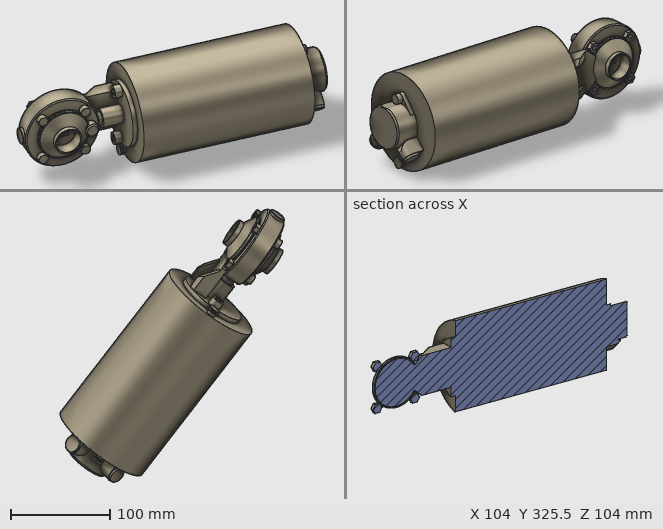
import cadquery as cq
import math


FIT = 0.5

BODY_RADIUS = 52.0
BODY_FRONT = 72.0
BODY_REAR = 257.6

BOSS_RADIUS = 34.8
BOSS_HEIGHT = 5.0
BOSS_FRONT = BODY_FRONT - BOSS_HEIGHT

BOSS_SCREW_RADIUS = 6.5
BOSS_SCREW_HEIGHT = 8.0
BOSS_SCREW_OFFSET = 28.3
BOSS_SOCKET_FLATS = 6.0
BOSS_SOCKET_DEPTH = 4.0

FLANGE_RADIUS = 40.0
FLANGE_HALF_WIDTH = 10.5
FLANGE_CHAMFER = 1.3
PLUG_SEAT = 38.0

COLLAR_RADIUS = 27.5
CONE_BASE_RADIUS = 26.2
CONE_START = 14.8
CONE_END = 22.1
COLLAR_GROOVE_START = 11.4
COLLAR_GROOVE_END = 12.0
PIPE_RADIUS = 14.5
BORE_RADIUS = 13.0
PIPE_END = 27.0

BORE_FLOOR_X = 13.0
FLOOR_RIB_LENGTH = 11.3
FLOOR_RIB_WIDTH = 3.4
FLOOR_RIB_HEIGHT = 1.0

BOLT_PITCH = 46.0
BOLT_HEAD_RADIUS = 5.0
BOLT_HEAD_HEIGHT = 6.0
BOLT_RADIUS = 2.7
BOLT_END_RECESS = 0.5
NUT_FLATS = 10.0
NUT_HEIGHT = 5.0

KNOB_RADIUS = 7.3
KNOB_HEIGHT = 8.3
KNOB_CHAMFER = 1.5
KNOB_Y = 29.6

PLUG_RADIUS = 8.5
PLUG_FRONT = -42.28
PLUG_CHAMFER = 0.5

COUPLING_RADIUS = 9.8
COUPLING_FRONT = 45.0
STEM_RADIUS = 6.75

BRACKET_RADIUS = 33.4
BRACKET_HALF_HEIGHT = 22.2
RIB_THICKNESS = 7.9
RIB_CHAMFER_HEIGHT = 2.6
RIB_CHAMFER_DEPTH = 1.8
RIB_BEND_Y = 55.3
RIB_END_Y = 35.6
PLATE_OUTER_X = -15.7
RIB_OUTER_X = -29.6
PLATE_CORNER_Y = 31.3
PLATE_TIP_Y = 21.9
PLATE_TIP_HALF_HEIGHT = 14.0

PORT_Z = -43.4
PORT_NECK_RADIUS = 4.7
PORT_NECK_LENGTH = 2.9
PORT_GROOVE_RADIUS = 3.7
PORT_GROOVE_LENGTH = 1.2
PORT_HEAD_RADIUS = 6.1
PORT_HEAD_WAIST_RADIUS = 5.2
PORT_LENGTH = 7.0

CAP_RADIUS = 23.2
CAP_REAR = 283.2
CAP_CHAMFER_LENGTH = 2.0
CAP_CHAMFER_DEPTH = 1.2
CAP_FLAT_Z = 22.4
CAP_FLAT_HALF_WIDTH = 5.4
CAP_BEVEL_HALF_WIDTH = 9.2

CLIP_HALF_WIDTH = 18.2
CLIP_BASE_Z = 14.6
CLIP_THICKNESS = 5.0
CLIP_TOP_RADIUS = 5.5
CLIP_SCREW_Z = 27.2
CLIP_SCREW_RADIUS = 5.2
CLIP_SCREW_HEIGHT = 5.6

ELBOW_WIDTH = 18.2
ELBOW_INNER = 22.0
ELBOW_OUTER = 37.5
ELBOW_OUTLET_RADIUS = 8.4
ELBOW_OUTLET_END = 40.0
ELBOW_AXIS_Y = 268.8
ELBOW_TILT = 45.0


def y_rod(radius, y_start, y_end, x=0.0, z=0.0):
    """Cylinder along Y between two stations."""
    low = min(y_start, y_end)
    length = abs(y_end - y_start)
    return cq.Workplane("XZ", origin=(x, low, z)).circle(radius).extrude(-length)


def x_rod(radius, x_start, x_end, y=0.0, z=0.0):
    """Cylinder along X between two stations."""
    return cq.Workplane("YZ", origin=(x_start, y, z)).circle(radius).extrude(x_end - x_start)


def hex_across_corners(flats):
    return flats / math.cos(math.radians(30))


def actuator_body():
    body = y_rod(BODY_RADIUS, BODY_FRONT, BODY_REAR)
    return body.union(y_rod(BOSS_RADIUS, BOSS_FRONT, BODY_FRONT + FIT))


def boss_screw(z):
    head_front = BOSS_FRONT - BOSS_SCREW_HEIGHT
    head = y_rod(BOSS_SCREW_RADIUS, head_front, BOSS_FRONT + FIT, z=z)
    socket = (
        cq.Workplane("XZ", origin=(0, head_front, z))
        .polygon(6, hex_across_corners(BOSS_SOCKET_FLATS))
        .extrude(-BOSS_SOCKET_DEPTH)
    )
    return head.cut(socket)


def air_port():
    """Stepped port on the front face, turned about its own axis."""
    groove_start = PORT_NECK_LENGTH
    head_start = groove_start + PORT_GROOVE_LENGTH
    head_middle = (head_start + PORT_LENGTH) / 2
    profile = [
        (0, FIT),
        (PORT_NECK_RADIUS, FIT),
        (PORT_NECK_RADIUS, -groove_start),
        (PORT_GROOVE_RADIUS, -groove_start),
        (PORT_GROOVE_RADIUS, -head_start),
        (PORT_HEAD_RADIUS, -head_start),
        (PORT_HEAD_WAIST_RADIUS, -head_middle),
        (PORT_HEAD_RADIUS, -PORT_LENGTH),
        (0, -PORT_LENGTH),
    ]
    port = cq.Workplane("XY").polyline(profile).close().revolve(360, (0, 0, 0), (0, 1, 0))
    return port.translate((0, BODY_FRONT, PORT_Z))


def rear_cap():
    """Round cap with a flat and two bevels on top."""
    base_y = BODY_REAR - FIT
    round_cap = (
        cq.Workplane("XY")
        .polyline([
            (0, base_y),
            (CAP_RADIUS, base_y),
            (CAP_RADIUS, CAP_REAR - CAP_CHAMFER_LENGTH),
            (CAP_RADIUS - CAP_CHAMFER_DEPTH, CAP_REAR),
            (0, CAP_REAR),
        ])
        .close()
        .revolve(360, (0, 0, 0), (0, 1, 0))
    )
    bevel_z = math.sqrt(CAP_RADIUS**2 - CAP_BEVEL_HALF_WIDTH**2)
    above_flat = (
        cq.Workplane("XZ", origin=(0, BODY_REAR, 0))
        .polyline([
            (-CAP_BEVEL_HALF_WIDTH, bevel_z),
            (-CAP_FLAT_HALF_WIDTH, CAP_FLAT_Z),
            (CAP_FLAT_HALF_WIDTH, CAP_FLAT_Z),
            (CAP_BEVEL_HALF_WIDTH, bevel_z),
            (CAP_BEVEL_HALF_WIDTH, CAP_RADIUS + FIT),
            (-CAP_BEVEL_HALF_WIDTH, CAP_RADIUS + FIT),
        ])
        .close()
        .extrude(BODY_REAR - CAP_REAR)
    )
    return round_cap.cut(above_flat)


def cap_clip():
    """Triangular clip with a rounded top, held by one screw."""
    rise = CLIP_SCREW_Z - CLIP_BASE_Z
    reach = math.hypot(CLIP_HALF_WIDTH, rise)
    angle = math.atan2(rise, CLIP_HALF_WIDTH) + math.asin(CLIP_TOP_RADIUS / reach)
    tangent_x = CLIP_TOP_RADIUS * math.sin(angle)
    tangent_z = CLIP_SCREW_Z + CLIP_TOP_RADIUS * math.cos(angle)
    clip_rear = BODY_REAR + CLIP_THICKNESS
    clip = (
        cq.Workplane("XZ", origin=(0, BODY_REAR - FIT, 0))
        .moveTo(-CLIP_HALF_WIDTH, CLIP_BASE_Z)
        .lineTo(-tangent_x, tangent_z)
        .threePointArc((0, CLIP_SCREW_Z + CLIP_TOP_RADIUS), (tangent_x, tangent_z))
        .lineTo(CLIP_HALF_WIDTH, CLIP_BASE_Z)
        .close()
        .extrude(-CLIP_THICKNESS - FIT)
    )
    screw = y_rod(CLIP_SCREW_RADIUS, clip_rear - FIT, clip_rear + CLIP_SCREW_HEIGHT, z=CLIP_SCREW_Z)
    return clip.union(screw)


def elbow():
    """Fitting with its outlet along +X, before it is turned to its place."""
    crown = ELBOW_WIDTH / 2
    base_y = BODY_REAR - FIT
    across = (
        cq.Workplane("YZ", origin=(ELBOW_INNER, 0, 0))
        .moveTo(base_y, -crown)
        .lineTo(ELBOW_AXIS_Y, -crown)
        .threePointArc((ELBOW_AXIS_Y + crown, 0), (ELBOW_AXIS_Y, crown))
        .lineTo(base_y, crown)
        .close()
        .extrude(ELBOW_OUTER - ELBOW_INNER)
    )
    bend_x = ELBOW_INNER + crown
    arc_step = crown * math.sqrt(0.5)
    along = (
        cq.Workplane("XY", origin=(0, 0, -crown))
        .moveTo(ELBOW_INNER, base_y)
        .lineTo(ELBOW_INNER, ELBOW_AXIS_Y)
        .threePointArc((bend_x - arc_step, ELBOW_AXIS_Y + arc_step), (bend_x, ELBOW_AXIS_Y + crown))
        .lineTo(ELBOW_OUTER, ELBOW_AXIS_Y + crown)
        .lineTo(ELBOW_OUTER, base_y)
        .close()
        .extrude(ELBOW_WIDTH)
    )
    outlet = x_rod(ELBOW_OUTLET_RADIUS, ELBOW_OUTER - FIT, ELBOW_OUTLET_END, y=ELBOW_AXIS_Y)
    return across.intersect(along).union(outlet)


def bracket():
    top = BRACKET_HALF_HEIGHT
    back = BOSS_FRONT + FIT
    rib_profile = (
        cq.Workplane("XY", origin=(0, 0, -top))
        .polyline([
            (-FLANGE_HALF_WIDTH, back),
            (RIB_OUTER_X, back),
            (RIB_OUTER_X, RIB_BEND_Y),
            (PLATE_OUTER_X, RIB_END_Y),
            (-FLANGE_HALF_WIDTH, RIB_END_Y),
        ])
        .close()
        .extrude(2 * top)
    )
    gap = top - RIB_THICKNESS
    mouth = gap + RIB_CHAMFER_HEIGHT
    chamfer_x = RIB_OUTER_X + RIB_CHAMFER_DEPTH
    window = (
        cq.Workplane("XZ")
        .polyline([
            (PLATE_OUTER_X, -gap),
            (chamfer_x, -gap),
            (RIB_OUTER_X, -mouth),
            (RIB_OUTER_X, mouth),
            (chamfer_x, gap),
            (PLATE_OUTER_X, gap),
        ])
        .close()
        .extrude(-back)
    )
    ribs = rib_profile.cut(window).intersect(y_rod(BRACKET_RADIUS, 0, back))
    plate = (
        cq.Workplane("YZ", origin=(PLATE_OUTER_X, 0, 0))
        .polyline([
            (back, -top),
            (PLATE_CORNER_Y, -top),
            (PLATE_TIP_Y, -PLATE_TIP_HALF_HEIGHT),
            (PLATE_TIP_Y, PLATE_TIP_HALF_HEIGHT),
            (PLATE_CORNER_Y, top),
            (back, top),
        ])
        .close()
        .extrude(-FLANGE_HALF_WIDTH + FIT - PLATE_OUTER_X)
    )
    return ribs.union(plate)


def drive_shaft():
    coupling = y_rod(COUPLING_RADIUS, COUPLING_FRONT, BOSS_FRONT + FIT)
    return coupling.union(y_rod(STEM_RADIUS, PLUG_SEAT, COUPLING_FRONT + FIT))


def valve_shell():
    half_profile = [
        (0, 0),
        (0, FLANGE_RADIUS),
        (FLANGE_HALF_WIDTH - FLANGE_CHAMFER, FLANGE_RADIUS),
        (FLANGE_HALF_WIDTH, FLANGE_RADIUS - FLANGE_CHAMFER),
        (FLANGE_HALF_WIDTH, COLLAR_RADIUS),
        (COLLAR_GROOVE_START, COLLAR_RADIUS),
        (COLLAR_GROOVE_START, CONE_BASE_RADIUS),
        (COLLAR_GROOVE_END, CONE_BASE_RADIUS),
        (COLLAR_GROOVE_END, COLLAR_RADIUS),
        (CONE_START, COLLAR_RADIUS),
        (CONE_START, CONE_BASE_RADIUS),
        (CONE_END, PIPE_RADIUS),
        (PIPE_END, PIPE_RADIUS),
        (PIPE_END, 0),
    ]
    half = cq.Workplane("XY").polyline(half_profile).close().revolve(360, (0, 0, 0), (1, 0, 0))
    return half.union(half.mirror("YZ"))


def bore(side):
    start = side * BORE_FLOOR_X
    passage = x_rod(BORE_RADIUS, start, side * PIPE_END)
    rib = (
        cq.Workplane("YZ", origin=(start, 0, 0))
        .slot2D(FLOOR_RIB_LENGTH, FLOOR_RIB_WIDTH)
        .extrude(side * FLOOR_RIB_HEIGHT)
    )
    return passage.cut(rib)


def flange_bolt(y, z):
    """Round head on +X; nut and bolt end on -X."""
    head = x_rod(BOLT_HEAD_RADIUS, FLANGE_HALF_WIDTH - FIT, FLANGE_HALF_WIDTH + BOLT_HEAD_HEIGHT, y, z)
    nut_face = -FLANGE_HALF_WIDTH - NUT_HEIGHT
    nut = (
        cq.Workplane("YZ", origin=(nut_face, y, z))
        .polygon(6, hex_across_corners(NUT_FLATS))
        .extrude(NUT_HEIGHT + FIT)
    )
    recess = x_rod(BOLT_RADIUS, nut_face, nut_face + BOLT_END_RECESS, y, z)
    return head.union(nut).cut(recess)


def side_knob():
    knob_end = FLANGE_HALF_WIDTH + KNOB_HEIGHT
    knob = x_rod(KNOB_RADIUS, FLANGE_HALF_WIDTH - FIT, knob_end, y=KNOB_Y)
    return knob.faces(">X").chamfer(KNOB_CHAMFER)


def plug():
    cover = y_rod(PLUG_RADIUS, PLUG_FRONT, -PLUG_SEAT)
    return cover.faces("<Y").chamfer(PLUG_CHAMFER)


result = actuator_body()
for sign in (-1, 1):
    result = result.union(boss_screw(sign * BOSS_SCREW_OFFSET))

front_port = air_port()
body_middle = (BODY_FRONT + BODY_REAR) / 2
rear_port = front_port.mirror("XZ", (0, body_middle, 0))
result = result.union(front_port).union(rear_port)

result = result.union(rear_cap()).union(cap_clip())
fitting = elbow()
for turn in (ELBOW_TILT, 180 - ELBOW_TILT):
    result = result.union(fitting.rotate((0, 0, 0), (0, 1, 0), turn))

result = result.union(drive_shaft()).union(bracket()).union(valve_shell())
result = result.union(plug()).union(side_knob())
for y_sign in (-1, 1):
    for z_sign in (-1, 1):
        result = result.union(flange_bolt(y_sign * BOLT_PITCH / 2, z_sign * BOLT_PITCH / 2))
for side in (-1, 1):
    result = result.cut(bore(side))